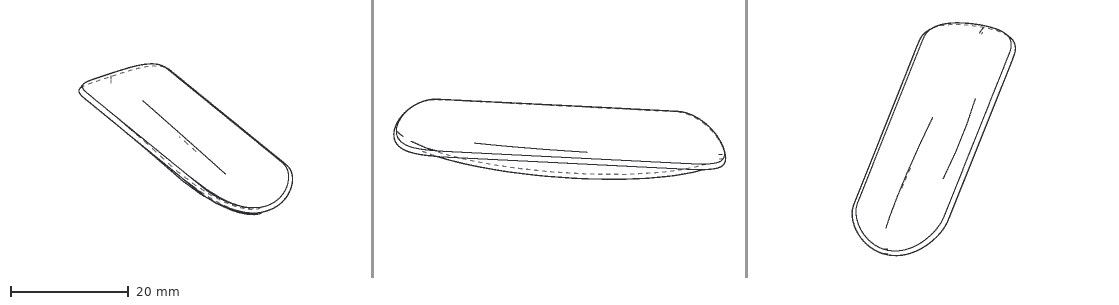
import cadquery as cq
import math

straight_half_length = 20.55
corner_reach = 7.8
half_width = 7.65
rim_height = 2.35
tip_angle = 7.4
keel_depth = 5.15
left_fullness = 0.78
right_fullness = 0.74
seam_swing = 39.0

thickness = 1.0
wall_slope = 48.0
tip_growth = 0.3
tip_drop = 0.8

tilt = 8.3
heading = -45.0

quarter_turn = 90
corner_steps = 12
straight_steps = 10
handle_ratio = 4 / 3
origin = cq.Vector(0, 0, 0)
y_axis = cq.Vector(0, 1, 0)
z_axis = cq.Vector(0, 0, 1)


def rim_points(side, reach, width, height, base):
    """Return points along one half of the rim, from the left tip to the right tip.

    Seen from above it follows a stadium; its height grows with the square of the distance from the X axis.
    """
    def corner(end, step):
        first = -side * end * tip_angle
        angle = math.radians(first + (quarter_turn - first) * step / corner_steps)
        return end * (straight_half_length + reach * math.cos(angle)), math.sin(angle)

    left = [corner(-1, i) for i in range(corner_steps)]
    middle = [
        (straight_half_length * (2 * i / straight_steps - 1), 1.0)
        for i in range(straight_steps + 1)
    ]
    right = [corner(1, i) for i in reversed(range(corner_steps))]
    return [
        cq.Vector(x, side * share * width, base + height * share**2)
        for x, share in left + middle + right
    ]


def skin(reach, width, height, base, depth):
    """Return the two walls and the bottom of one skin, and its two rim edges."""
    rims = [cq.Edge.makeSpline(rim_points(side, reach, width, height, base)) for side in (-1, 1)]
    left_tip = rims[0].startPoint()
    right_tip = rims[0].endPoint()

    handle_drop = z_axis * (depth * handle_ratio)
    middle = (left_tip + right_tip) / 2
    half_chord = (right_tip - left_tip) / 2
    keel = cq.Edge.makeBezier([
        left_tip,
        middle - half_chord * left_fullness - handle_drop,
        middle + half_chord * right_fullness - handle_drop,
        right_tip,
    ])
    seams = [keel.rotate(left_tip, right_tip, side * seam_swing) for side in (-1, 1)]

    profile = cq.Wire.assembleEdges([seams[0], cq.Edge.makeLine(right_tip, left_tip)])
    spindle = cq.Solid.revolve(profile, [], 2 * seam_swing, left_tip, right_tip)
    bottom = [face for face in spindle.Faces() if face.geomType() != "PLANE"]
    walls = [cq.Face.makeRuledSurface(rim, seam) for rim, seam in zip(rims, seams)]
    return walls + bottom, rims


slope = math.radians(wall_slope)
inner_faces, inner_rims = skin(corner_reach, half_width, rim_height, 0, keel_depth)
outer_faces, outer_rims = skin(
    corner_reach + tip_growth,
    half_width + thickness * math.sin(slope),
    rim_height + tip_drop - thickness * math.cos(slope),
    -tip_drop,
    keel_depth + thickness - tip_drop,
)
rim_faces = [cq.Face.makeRuledSurface(inner, outer) for inner, outer in zip(inner_rims, outer_rims)]

scoop = cq.Solid.makeSolid(cq.Shell.makeShell(inner_faces + outer_faces + rim_faces))
scoop = scoop.rotate(origin, y_axis, -tilt).rotate(origin, z_axis, heading)
result = cq.Workplane(obj=scoop)